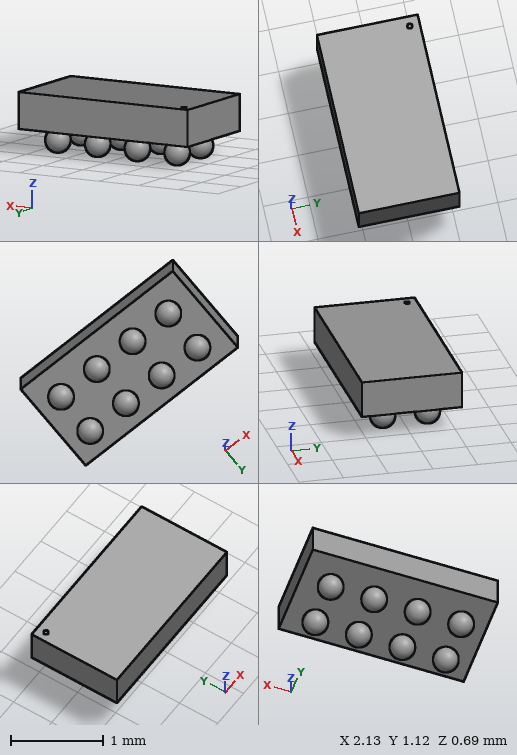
import cadquery as cq

LENGTH = 2.13
WIDTH = 1.12
TOTAL_HEIGHT = 0.69

BALL_DIAMETER = 0.281
BALL_PITCH = 0.5
BALL_COLUMNS = 4
BALL_ROWS = 2

MARK_DIAMETER = 0.055
MARK_DEPTH = 0.01
MARK_INSET = 0.113

package_height = TOTAL_HEIGHT - BALL_DIAMETER
mark_x = MARK_INSET - LENGTH / 2
mark_y = WIDTH / 2 - MARK_INSET


def make_pin_one_mark():
    """Thin disc whose top is level with the package top."""
    return (
        cq.Workplane("XY", origin=(mark_x, mark_y, package_height - MARK_DEPTH))
        .circle(MARK_DIAMETER / 2)
        .extrude(MARK_DEPTH)
    )


def make_package(mark):
    """Plain block with a matching recess for the pin-one mark."""
    block = cq.Workplane("XY").box(LENGTH, WIDTH, package_height, centered=(True, True, False))
    return block.cut(mark)


def make_ball(column, row):
    """Solder ball at one place of the grid centred under the package."""
    x = (column - (BALL_COLUMNS - 1) / 2) * BALL_PITCH
    y = (row - (BALL_ROWS - 1) / 2) * BALL_PITCH
    return cq.Workplane("XY", origin=(x, y, -BALL_DIAMETER / 2)).sphere(BALL_DIAMETER / 2)


pin_one_mark = make_pin_one_mark()
package = make_package(pin_one_mark)
balls = [
    make_ball(column, row)
    for row in range(BALL_ROWS)
    for column in range(BALL_COLUMNS)
]

result = cq.Compound.makeCompound(
    [package.val(), pin_one_mark.val(), *[ball.val() for ball in balls]]
)